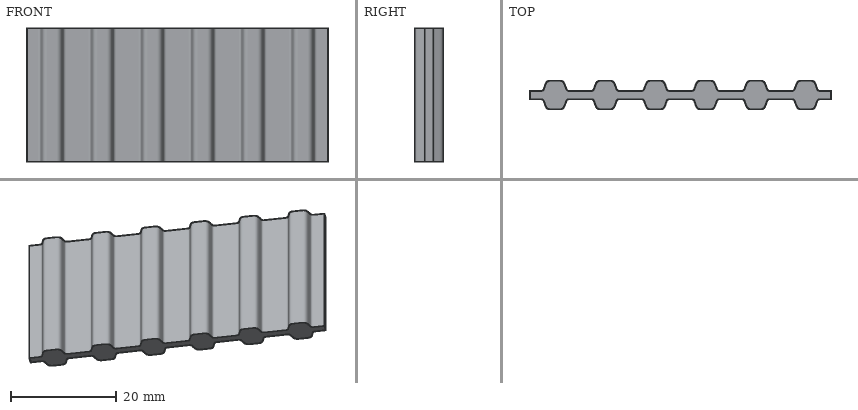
import cadquery as cq
import math

length = 57.15
belt_width = 25.4
total_thickness = 5.5
web_thickness = 1.6
tooth_count = 6

tip_flat_width = 1.85
tip_radius = 0.9
tip_turn = 58.0
shoulder_radius = 1.9
flank_slope = 70.0
root_radius = 0.5

pitch = length / tooth_count
tip_y = total_thickness / 2
web_y = web_thickness / 2


def arc_step(radius, start_slope, end_slope):
    """X and Y travel along a downhill arc between two slopes, given in degrees."""
    start = math.radians(start_slope)
    end = math.radians(end_slope)
    return radius * (math.sin(end) - math.sin(start)), radius * (math.cos(start) - math.cos(end))


def point_on_arc(start, radius, start_slope, end_slope):
    """Point reached from start along a convex arc that steepens to end_slope."""
    dx, dy = arc_step(radius, start_slope, end_slope)
    return start[0] + dx, start[1] - dy


def half_tooth():
    """Points of one upper half tooth, from its tip flat down to the web (tooth centre at X = 0)."""
    tip_start = (tip_flat_width / 2, tip_y)
    tip_middle = point_on_arc(tip_start, tip_radius, 0, tip_turn / 2)
    tip_end = point_on_arc(tip_start, tip_radius, 0, tip_turn)
    shoulder_middle = point_on_arc(tip_end, shoulder_radius, tip_turn, (tip_turn + flank_slope) / 2)
    flank_top = point_on_arc(tip_end, shoulder_radius, tip_turn, flank_slope)

    root_run, root_rise = arc_step(root_radius, 0, flank_slope)
    flank_drop = flank_top[1] - web_y - root_rise
    flank_bottom_x = flank_top[0] + flank_drop / math.tan(math.radians(flank_slope))
    flank_bottom = (flank_bottom_x, web_y + root_rise)
    root_end = (flank_bottom_x + root_run, web_y)
    middle_run, middle_rise = arc_step(root_radius, 0, flank_slope / 2)
    root_middle = (root_end[0] - middle_run, web_y + middle_rise)
    return [
        tip_start, tip_middle, tip_end, shoulder_middle, flank_top,
        flank_bottom, root_middle, root_end,
    ]


def draw_toothed_edge(sketch, side):
    """Draw one toothed edge and its end corner; side -1 is side 1 turned half a turn about Z."""
    falling = half_tooth()
    rising = [(-x, y) for x, y in reversed(falling)]
    for i in range(tooth_count):
        centre = (i - (tooth_count - 1) / 2) * pitch
        up = [(side * (centre + x), side * y) for x, y in rising]
        down = [(side * (centre + x), side * y) for x, y in falling]
        sketch = sketch.lineTo(*up[0])
        sketch = sketch.threePointArc(up[1], up[2])
        sketch = sketch.lineTo(*up[3])
        sketch = sketch.threePointArc(up[4], up[5])
        sketch = sketch.threePointArc(up[6], up[7])
        sketch = sketch.lineTo(*down[0])
        sketch = sketch.threePointArc(down[1], down[2])
        sketch = sketch.threePointArc(down[3], down[4])
        sketch = sketch.lineTo(*down[5])
        sketch = sketch.threePointArc(down[6], down[7])
    return sketch.lineTo(side * length / 2, side * web_y)


section = cq.Workplane("XY").moveTo(-length / 2, web_y)
section = draw_toothed_edge(section, 1)
section = section.lineTo(length / 2, -web_y)
section = draw_toothed_edge(section, -1)
result = section.close().extrude(belt_width)